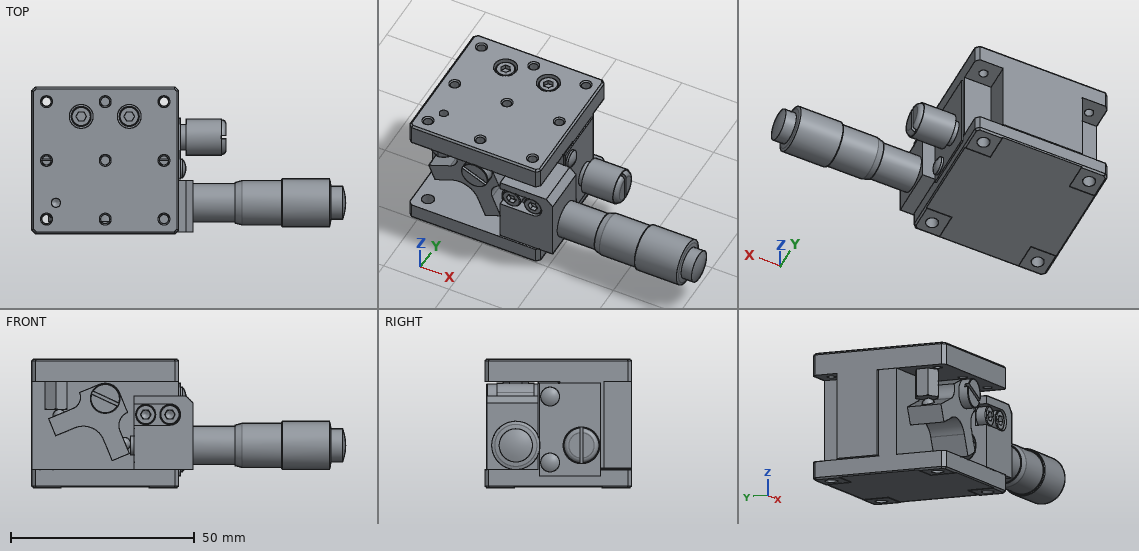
import cadquery as cq
import math


STAGE_SIDE = 40.0
STAGE_HEIGHT = 35.0
STAGE_MIDDLE = STAGE_SIDE / 2
CORNER_CHAMFER = 1.0
EDGE_CHAMFER = 0.5

BASE_THICKNESS = 4.95
FOOT_SIDE = 8.0
FOOT_HEIGHT = 0.2
WALL_FRONT = 14.5
WALL_BACK = 20.0
BASE_HOLE_DIA = 3.5

TABLE_BOTTOM = 28.9
STEM_FRONT = 20.3
STEM_BACK = 32.5
STEM_CLEARANCE = 0.3
REAR_BLOCK_LENGTH = 23.9
HOLE_PITCH = 16.0
TABLE_HOLE_DIA = 2.5
TABLE_HOLE_RIM_DIA = 3.25
TABLE_HOLE_DEPTH = 6.8
CENTRE_HOLE_DEPTH = 5.1

SCREW_HEAD_DIA = 5.5
SCREW_HEAD_HEIGHT = 3.0
SCREW_HEAD_CHAMFER = 0.25
SOCKET_FLATS = 2.5
SOCKET_DEPTH = 1.3
BRACKET_SOCKET_CONE = 0.7
TABLE_SCREW_SPACING = 13.1
TABLE_SCREW_Y = 32.0
TABLE_SCREW_SINK = 0.5
COUNTERBORE_DIA = 6.5

DRIVE_Y = 8.5
STUD_X = 6.6
STUD_FLATS = 6.0
STUD_CHAMFER = 0.25
PILOT_DIA = 2.5
PILOT_DEPTH = 4.3
DRILL_POINT_ANGLE = 118.0

PIVOT_X = STAGE_MIDDLE
PIVOT_Z = 24.3
LEVER_ANGLE = 22.5
LEVER_BACK = 13.4
LEVER_WIDTH = 10.1
LEVER_HUB_RADIUS = 4.2
LEVER_HUB_REACH = 5.8
LEVER_ARM_LENGTH = 16.3
LEVER_ARM_WIDTH = 5.0
LEVER_LEVEL_ARM_OFFSET = 0.85
LEVER_HANGING_ARM_OFFSET = 0.3
LEVER_ELBOW_RADIUS = 6.0
BALL_DIA = 3.5
BALL_REACH = 13.3
LEVEL_BALL_OFFSET = 0.4
HANGING_BALL_OFFSET = 0.1

PIVOT_HEAD_DIA = 8.0
PIVOT_SHANK_DIA = 5.0
PIVOT_HEAD_FRONT = 0.5
PIVOT_HEAD_CHAMFER = 0.2
PIVOT_SLOT_WIDTH = 0.9
PIVOT_SLOT_DEPTH = 1.1
PIVOT_SLOT_ANGLE = 25.0

BRACKET_LEFT = 27.9
BRACKET_RIGHT = 43.9
BRACKET_FRONT = 0.5
BRACKET_TOP = 25.0
BRACKET_CHAMFER = 2.0
BRACKET_SLOT_WIDTH = 5.8
BRACKET_SLOT_DEPTH = 3.4
BRACKET_SCREW_Z = 19.9
BRACKET_SCREW_XS = (31.0, 37.6)

MICROMETER_Z = 11.5
SPINDLE_DIA = 5.1
SHANK_DIA = 9.0
BORE_RIM_DIA = 9.5
BORE_RECESS_DEPTH = 6.0
SLEEVE_DIA = 10.5
SLEEVE_END = 55.4
THIMBLE_CONE_DIA = 11.1
THIMBLE_CONE_END = 57.3
THIMBLE_DIA = 12.1
THIMBLE_END = 68.0
GRIP_DIA = 13.2
GRIP_END = 81.0
GRIP_FRONT_CHAMFER = 0.25
GRIP_BACK_STEP = 0.85
GRIP_BACK_EDGE = 0.25
STOP_DIA = 9.1
STOP_START = 81.45
STOP_SHOULDER = 84.6
MICROMETER_END = 85.5

LOCK_PLATE_THICKNESS = 0.4
LOCK_PLATE_FRONT = 14.9
LOCK_PLATE_BACK = 31.5
LOCK_PLATE_BOTTOM = 3.25
LOCK_PLATE_TOP = 28.5
PLATE_SCREW_DIA = 5.1
PLATE_SCREW_Y = 17.8
PLATE_SCREW_SPACING = 17.95
PLATE_SCREW_RIM = 0.6
PLATE_SCREW_HEIGHT = 1.5
KNOB_Y = 26.3
KNOB_Z = MICROMETER_Z
KNOB_STUD_DIA = 5.0
KNOB_STUD_LENGTH = 8.55
KNOB_NECK_DIA = 7.0
KNOB_NECK_LENGTH = 1.6
KNOB_DIA = 10.0
KNOB_END = 52.9
KNOB_NOSE_LENGTH = 1.3
KNOB_NOSE_STEP = 0.25
KNOB_SLOT_WIDTH = 0.85

LEVER_FRONT = LEVER_BACK - LEVER_WIDTH
LOCK_PLATE_FACE = STAGE_SIDE + LOCK_PLATE_THICKNESS
TILT = math.radians(LEVER_ANGLE)
LEVEL_BALL_RISE = LEVEL_BALL_OFFSET * math.cos(TILT) - BALL_REACH * math.sin(TILT)
HANGING_BALL_ADVANCE = HANGING_BALL_OFFSET * math.cos(TILT) + BALL_REACH * math.sin(TILT)
STUD_BOTTOM = PIVOT_Z + LEVEL_BALL_RISE + BALL_DIA / 2
SPINDLE_TIP = PIVOT_X + HANGING_BALL_ADVANCE + BALL_DIA / 2
GRID = (-HOLE_PITCH, 0, HOLE_PITCH)


def box(x, y, z):
    """Block spanning the given (low, high) pairs."""
    size = (x[1] - x[0], y[1] - y[0], z[1] - z[0])
    return cq.Workplane("XY").box(*size, centered=False).translate((x[0], y[0], z[0]))


def cylinder(start, direction, diameter, length):
    solid = cq.Solid.makeCylinder(diameter / 2, length, cq.Vector(*start), cq.Vector(*direction))
    return cq.Workplane(obj=solid)


def along_x(profile, y, z):
    """Turn a closed (x, radius) sketch drawn in XY about its own X axis and move it to (y, z)."""
    return profile.close().revolve(360, (0, 0, 0), (1, 0, 0)).translate((0, y, z))


def plate(bottom, top):
    """Square plate with chamfered vertical corners."""
    side = (0, STAGE_SIDE)
    return box(side, side, (bottom, top)).edges("|Z").chamfer(CORNER_CHAMFER)


def socket_head(cone_depth=0):
    """Screw head standing on the origin along Z, with a hexagonal socket that may end in a cone."""
    head = cq.Workplane("XY").circle(SCREW_HEAD_DIA / 2).extrude(SCREW_HEAD_HEIGHT)
    head = head.faces(">Z").chamfer(SCREW_HEAD_CHAMFER)
    across_corners = SOCKET_FLATS / math.cos(math.radians(30))
    head = head.faces(">Z").workplane().polygon(6, across_corners).cutBlind(-SOCKET_DEPTH)
    if cone_depth:
        floor = cq.Vector(0, 0, SCREW_HEAD_HEIGHT - SOCKET_DEPTH)
        cone = cq.Solid.makeCone(SOCKET_FLATS / 2, 0, cone_depth, floor, cq.Vector(0, 0, -1))
        head = head.cut(cq.Workplane(obj=cone))
    return head


def make_base():
    """Footed plate with an upright wall, a boss behind the lever and the lock plate on the end."""
    side = (0, STAGE_SIDE)
    base = plate(0, BASE_THICKNESS).faces("<Z").chamfer(EDGE_CHAMFER)
    middle = (FOOT_SIDE, STAGE_SIDE - FOOT_SIDE)
    base = base.cut(box(middle, side, (0, FOOT_HEIGHT)))
    base = base.cut(box(side, middle, (0, FOOT_HEIGHT)))
    for dx in (-HOLE_PITCH, HOLE_PITCH):
        for dy in (-HOLE_PITCH, HOLE_PITCH):
            corner = (STAGE_MIDDLE + dx, STAGE_MIDDLE + dy, 0)
            base = base.cut(cylinder(corner, (0, 0, 1), BASE_HOLE_DIA, BASE_THICKNESS))
    base = base.union(box(side, (WALL_FRONT, WALL_BACK), (BASE_THICKNESS, TABLE_BOTTOM)))
    boss_start = (PIVOT_X, LEVER_BACK, PIVOT_Z)
    base = base.union(cylinder(boss_start, (0, 1, 0), PIVOT_HEAD_DIA, WALL_FRONT - LEVER_BACK))
    base = base.cut(cylinder(boss_start, (0, 1, 0), PIVOT_SHANK_DIA, WALL_BACK - LEVER_BACK))
    return base.union(make_lock_plate())


def make_lock_plate():
    """Thin plate on the +X side, fixed by two domed screws and pierced by the knob's stud."""
    lock_plate = box(
        (STAGE_SIDE, LOCK_PLATE_FACE),
        (LOCK_PLATE_FRONT, LOCK_PLATE_BACK),
        (LOCK_PLATE_BOTTOM, LOCK_PLATE_TOP),
    )
    stud_hole = cylinder((STAGE_SIDE, KNOB_Y, KNOB_Z), (1, 0, 0), KNOB_STUD_DIA, LOCK_PLATE_THICKNESS)
    lock_plate = lock_plate.cut(stud_hole)
    middle_z = (LOCK_PLATE_BOTTOM + LOCK_PLATE_TOP) / 2
    for side in (-1, 1):
        screw_z = middle_z + side * PLATE_SCREW_SPACING / 2
        lock_plate = lock_plate.union(make_domed_head(PLATE_SCREW_Y, screw_z))
    return lock_plate


def make_domed_head(y, z):
    """Domed screw head on the outer face of the lock plate."""
    rim = LOCK_PLATE_FACE + PLATE_SCREW_RIM
    crown = LOCK_PLATE_FACE + PLATE_SCREW_HEIGHT
    profile = cq.Workplane("XY").moveTo(LOCK_PLATE_FACE, 0).lineTo(LOCK_PLATE_FACE, PLATE_SCREW_DIA / 2)
    profile = profile.lineTo(rim, PLATE_SCREW_DIA / 2)
    profile = profile.threePointArc(dome_middle(rim, crown, PLATE_SCREW_DIA / 2), (crown, 0))
    return along_x(profile, y, z)


def dome_middle(rim, crown, rim_radius):
    """Point halfway along a dome's arc from its rim to its crown on the axis."""
    rise = crown - rim
    sphere_radius = (rise**2 + rim_radius**2) / (2 * rise)
    half_angle = math.asin(rim_radius / sphere_radius) / 2
    centre = crown - sphere_radius
    return centre + sphere_radius * math.cos(half_angle), sphere_radius * math.sin(half_angle)


def make_table():
    """Drilled top plate with the stem, rear block, screw heads and drive stud that move with it."""
    side = (0, STAGE_SIDE)
    stem_bottom = BASE_THICKNESS + STEM_CLEARANCE
    table = plate(TABLE_BOTTOM, STAGE_HEIGHT).faces(">Z").chamfer(EDGE_CHAMFER)
    table = table.union(box(side, (STEM_FRONT, STEM_BACK), (stem_bottom, TABLE_BOTTOM)))
    block_x = (STAGE_MIDDLE - REAR_BLOCK_LENGTH / 2, STAGE_MIDDLE + REAR_BLOCK_LENGTH / 2)
    table = table.union(box(block_x, (STEM_BACK, STAGE_SIDE), (stem_bottom, TABLE_BOTTOM)))
    for dx in GRID:
        for dy in GRID:
            at_centre = dx == 0 and dy == 0
            depth = CENTRE_HOLE_DEPTH if at_centre else TABLE_HOLE_DEPTH
            place = (STAGE_MIDDLE + dx, STAGE_MIDDLE + dy, STAGE_HEIGHT)
            table = table.cut(table_hole(depth).translate(place))
    for direction in (-1, 1):
        screw_x = STAGE_MIDDLE + direction * TABLE_SCREW_SPACING / 2
        table = add_table_screw(table, screw_x)
    table = table.union(make_stud()).cut(pilot_hole())
    stud_start = (STAGE_SIDE - KNOB_STUD_LENGTH, KNOB_Y, KNOB_Z)
    return table.cut(cylinder(stud_start, (1, 0, 0), KNOB_STUD_DIA, KNOB_STUD_LENGTH))


def table_hole(depth):
    """Cutter below the origin: a round hole with a small countersink."""
    rim = TABLE_HOLE_RIM_DIA / 2
    bore = TABLE_HOLE_DIA / 2
    profile = cq.Workplane("XZ").polyline([(0, 0), (rim, 0), (bore, bore - rim), (bore, -depth), (0, -depth)])
    return profile.close().revolve(360, (0, 0, 0), (0, 1, 0))


def add_table_screw(table, x):
    """Sink a counterbore and fill it with a socket head."""
    floor = STAGE_HEIGHT - TABLE_SCREW_SINK - SCREW_HEAD_HEIGHT
    floor_centre = (x, TABLE_SCREW_Y, floor)
    table = table.cut(cylinder(floor_centre, (0, 0, 1), COUNTERBORE_DIA, STAGE_HEIGHT - floor))
    return table.union(socket_head().translate(floor_centre))


def make_stud():
    """Hexagonal stud with two corners pointing along Y and a chamfered lower end."""
    across_corners = STUD_FLATS / math.cos(math.radians(30))
    height = TABLE_BOTTOM - STUD_BOTTOM
    stud = cq.Workplane("XY").polygon(6, across_corners).extrude(height)
    turned = cq.Workplane("XY").circle(across_corners / 2).extrude(height).faces("<Z").chamfer(STUD_CHAMFER)
    stud = stud.intersect(turned).rotate((0, 0, 0), (0, 0, 1), 30)
    return stud.translate((STUD_X, DRIVE_Y, STUD_BOTTOM))


def pilot_hole():
    """Blind drilled hole with a conical bottom."""
    radius = PILOT_DIA / 2
    tip_depth = PILOT_DEPTH + radius / math.tan(math.radians(DRILL_POINT_ANGLE / 2))
    profile = cq.Workplane("XZ").polyline([(0, 0), (radius, 0), (radius, -PILOT_DEPTH), (0, -tip_depth)])
    cutter = profile.close().revolve(360, (0, 0, 0), (0, 1, 0))
    return cutter.translate((STUD_X, DRIVE_Y, STAGE_HEIGHT))


def make_lever():
    """Two equal arms at a right angle, drawn level about the pivot and then tilted."""
    hub = LEVER_HUB_RADIUS
    reach = LEVER_HUB_REACH
    tip = LEVER_ARM_LENGTH
    elbow = LEVER_ELBOW_RADIUS
    level_top = LEVER_LEVEL_ARM_OFFSET
    level_bottom = level_top - LEVER_ARM_WIDTH
    hanging_right = LEVER_HANGING_ARM_OFFSET
    hanging_left = hanging_right - LEVER_ARM_WIDTH
    left_hollow = hub - level_top
    right_hollow = hub - hanging_right
    diagonal = math.sqrt(0.5)
    bulge = 1 - diagonal
    lever = (
        cq.Workplane("XZ")
        .moveTo(-reach, hub)
        .threePointArc(
            (-reach - left_hollow * bulge, hub - left_hollow * diagonal),
            (-reach - left_hollow, level_top),
        )
        .lineTo(-tip, level_top)
        .lineTo(-tip, level_bottom)
        .lineTo(hanging_left - elbow, level_bottom)
        .threePointArc(
            (hanging_left - elbow * bulge, level_bottom - elbow * bulge),
            (hanging_left, level_bottom - elbow),
        )
        .lineTo(hanging_left, -tip)
        .lineTo(hanging_right, -tip)
        .lineTo(hanging_right, -reach - right_hollow)
        .threePointArc(
            (hub - right_hollow * diagonal, -reach - right_hollow * bulge),
            (hub, -reach),
        )
        .lineTo(hub, 0)
        .threePointArc((hub * diagonal, hub * diagonal), (0, hub))
        .close()
        .extrude(LEVER_WIDTH)
    )
    ball_y = DRIVE_Y - LEVER_BACK
    level_ball = cq.Workplane("XY").sphere(BALL_DIA / 2)
    hanging_ball = cq.Workplane("YZ").sphere(BALL_DIA / 2)
    lever = lever.union(level_ball.translate((-BALL_REACH, ball_y, LEVEL_BALL_OFFSET)))
    lever = lever.union(hanging_ball.translate((HANGING_BALL_OFFSET, ball_y, -BALL_REACH)))
    lever = lever.cut(cylinder((0, 0, 0), (0, -1, 0), PIVOT_SHANK_DIA, LEVER_WIDTH))
    lever = lever.rotate((0, 0, 0), (0, 1, 0), -LEVER_ANGLE)
    return lever.translate((PIVOT_X, LEVER_BACK, PIVOT_Z))


def make_pivot_screw():
    """Slotted head in front of the lever, shank through the lever into the base wall."""
    head_height = LEVER_FRONT - PIVOT_HEAD_FRONT
    head = cq.Workplane("XZ").circle(PIVOT_HEAD_DIA / 2).extrude(head_height)
    head = head.faces("<Y").chamfer(PIVOT_HEAD_CHAMFER)
    slot = cq.Workplane("XY").box(PIVOT_HEAD_DIA, 2 * PIVOT_SLOT_DEPTH, PIVOT_SLOT_WIDTH)
    slot = slot.rotate((0, 0, 0), (0, 1, 0), PIVOT_SLOT_ANGLE).translate((0, -head_height, 0))
    shank = cylinder((0, 0, 0), (0, 1, 0), PIVOT_SHANK_DIA, WALL_BACK - LEVER_FRONT)
    return head.cut(slot).union(shank).translate((PIVOT_X, LEVER_FRONT, PIVOT_Z))


def make_bracket():
    """Block on the base with two socket heads in an open-ended slot and a bore for the micrometer."""
    bracket = box((BRACKET_LEFT, BRACKET_RIGHT), (BRACKET_FRONT, WALL_FRONT), (BASE_THICKNESS, BRACKET_TOP))
    bracket = bracket.edges(">X and >Z").chamfer(BRACKET_CHAMFER)
    slot_floor = BRACKET_FRONT + BRACKET_SLOT_DEPTH
    slot_end = (BRACKET_SCREW_XS[-1], BRACKET_FRONT, BRACKET_SCREW_Z)
    half_slot = BRACKET_SLOT_WIDTH / 2
    slot_z = (BRACKET_SCREW_Z - half_slot, BRACKET_SCREW_Z + half_slot)
    bracket = bracket.cut(box((BRACKET_LEFT, slot_end[0]), (BRACKET_FRONT, slot_floor), slot_z))
    bracket = bracket.cut(cylinder(slot_end, (0, 1, 0), BRACKET_SLOT_WIDTH, BRACKET_SLOT_DEPTH))
    head = socket_head(BRACKET_SOCKET_CONE).rotate((0, 0, 0), (1, 0, 0), 90)
    for screw_x in BRACKET_SCREW_XS:
        bracket = bracket.union(head.translate((screw_x, slot_floor, BRACKET_SCREW_Z)))
    return bracket.cut(micrometer_bore())


def micrometer_bore():
    """Cutter through the bracket along X with a chamfered rim on the spindle side."""
    bore = SHANK_DIA / 2
    rim = BORE_RIM_DIA / 2
    profile = (
        cq.Workplane("XY")
        .moveTo(BRACKET_LEFT, 0)
        .lineTo(BRACKET_LEFT, rim)
        .lineTo(BRACKET_LEFT + rim - bore, bore)
        .lineTo(BRACKET_RIGHT, bore)
        .lineTo(BRACKET_RIGHT, 0)
    )
    return along_x(profile, DRIVE_Y, MICROMETER_Z)


def make_micrometer():
    """Spindle, shank in the bracket bore, sleeve, coned thimble, grip and domed stop on one axis."""
    shank_start = BRACKET_LEFT + BORE_RECESS_DEPTH
    spindle = SPINDLE_DIA / 2
    shank = SHANK_DIA / 2
    sleeve = SLEEVE_DIA / 2
    thimble = THIMBLE_DIA / 2
    grip = GRIP_DIA / 2
    stop = STOP_DIA / 2
    profile = (
        cq.Workplane("XY")
        .moveTo(SPINDLE_TIP, 0)
        .lineTo(SPINDLE_TIP, spindle)
        .lineTo(shank_start, spindle)
        .lineTo(shank_start, shank)
        .lineTo(BRACKET_RIGHT, shank)
        .lineTo(BRACKET_RIGHT, sleeve)
        .lineTo(SLEEVE_END, sleeve)
        .lineTo(SLEEVE_END, THIMBLE_CONE_DIA / 2)
        .lineTo(THIMBLE_CONE_END, thimble)
        .lineTo(THIMBLE_END, thimble)
        .lineTo(THIMBLE_END, grip - GRIP_FRONT_CHAMFER)
        .lineTo(THIMBLE_END + GRIP_FRONT_CHAMFER, grip)
        .lineTo(GRIP_END, grip)
        .lineTo(GRIP_END + GRIP_BACK_EDGE, grip - GRIP_BACK_STEP)
        .lineTo(STOP_START, stop)
        .lineTo(STOP_SHOULDER, stop)
        .threePointArc(dome_middle(STOP_SHOULDER, MICROMETER_END, stop), (MICROMETER_END, 0))
    )
    return along_x(profile, DRIVE_Y, MICROMETER_Z)


def make_lock_knob():
    """Stud through the lock plate into the stem, neck, round grip and a slotted, rounded nose."""
    stud = KNOB_STUD_DIA / 2
    neck = KNOB_NECK_DIA / 2
    grip = KNOB_DIA / 2
    grip_start = LOCK_PLATE_FACE + KNOB_NECK_LENGTH
    nose_start = KNOB_END - KNOB_NOSE_LENGTH
    nose = grip - KNOB_NOSE_STEP
    nose_round = KNOB_NOSE_LENGTH * (1 - math.sqrt(0.5))
    profile = (
        cq.Workplane("XY")
        .moveTo(STAGE_SIDE - KNOB_STUD_LENGTH, 0)
        .lineTo(STAGE_SIDE - KNOB_STUD_LENGTH, stud)
        .lineTo(LOCK_PLATE_FACE, stud)
        .lineTo(LOCK_PLATE_FACE, neck)
        .lineTo(grip_start, neck)
        .lineTo(grip_start, grip)
        .lineTo(nose_start, grip)
        .lineTo(nose_start, nose)
        .threePointArc((KNOB_END - nose_round, nose - nose_round), (KNOB_END, nose - KNOB_NOSE_LENGTH))
        .lineTo(KNOB_END, 0)
    )
    half_slot = KNOB_SLOT_WIDTH / 2
    slot = box((nose_start, KNOB_END), (KNOB_Y - half_slot, KNOB_Y + half_slot), (KNOB_Z - grip, KNOB_Z + grip))
    return along_x(profile, KNOB_Y, KNOB_Z).cut(slot)


base = make_base()
table = make_table()
lever = make_lever()
pivot_screw = make_pivot_screw()
bracket = make_bracket()
micrometer = make_micrometer()
lock_knob = make_lock_knob()

result = cq.Compound.makeCompound(
    [
        base.solids().val(),
        table.solids().val(),
        lever.solids().val(),
        pivot_screw.solids().val(),
        bracket.solids().val(),
        micrometer.solids().val(),
        lock_knob.solids().val(),
    ]
)